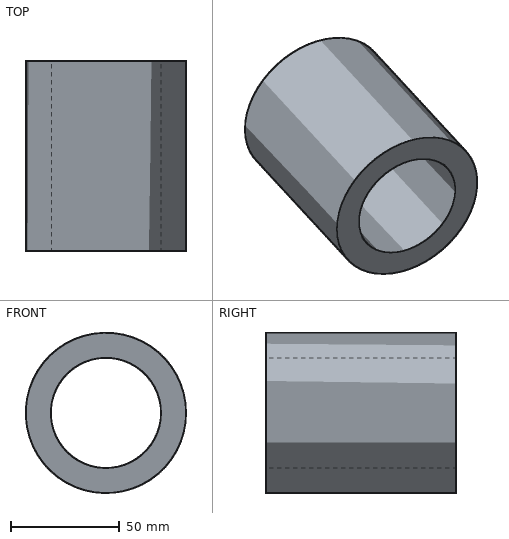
import cadquery as cq

length = 87.9
outer_diameter = 74.2
bore_diameter = 50.8

result = (
    cq.Workplane("XZ", origin=(0, length / 2, 0))
    .circle(outer_diameter / 2)
    .circle(bore_diameter / 2)
    .extrude(length)
)